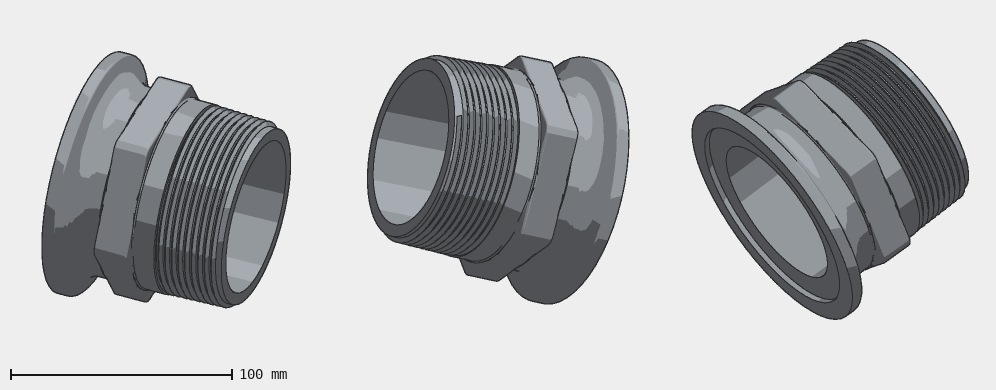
import cadquery as cq
import math


total_length = 81.3
bore_radius = 71.2 / 2
flange_radius = 112.8 / 2
body_radius = 88.6 / 2
flange_rim = 5.8
flange_back_angle = 20
flange_rim_fillet = 1.0
neck_fillet = 9.0
recess_radius = 94.7 / 2
recess_depth = 2.7

hex_start = 23.0
hex_width = 16.0
hex_across_flats = 90.0
hex_corner_fillet = 6.0
hex_edge_fillet = 1.0
hex_root_fillet = 0.7
hex_end = hex_start + hex_width

shoulder_x = 49.7
tip_radius = 41.0
taper = 1 / 32
thread_turns = 10
thread_start = 47.3
thread_end = 79.0
pitch = (thread_end - thread_start) / thread_turns
crest_clearance = 0.1
crest_radius = body_radius - crest_clearance
thread_depth = 2.7
flank_angle = 30


def build_body():
    """Turned solid: flange, swept neck, plain body and tapered thread core."""
    slope = math.radians(flange_back_angle)
    tangent_factor = math.tan((math.pi / 2 - slope) / 2)
    rim_tangent = flange_rim_fillet * tangent_factor
    neck_tangent = neck_fillet * tangent_factor
    neck_corner = flange_rim + (flange_radius - body_radius) * math.tan(slope)
    rim_center = (flange_rim - rim_tangent, flange_radius - flange_rim_fillet)
    neck_center = (neck_corner + neck_tangent, body_radius + neck_fillet)

    def on_arc(center, radius, angle):
        return (center[0] + radius * math.cos(angle), center[1] + radius * math.sin(angle))

    middle = (math.pi / 2 + slope) / 2
    rim_middle = on_arc(rim_center, flange_rim_fillet, middle)
    rim_finish = on_arc(rim_center, flange_rim_fillet, slope)
    neck_begin = on_arc(neck_center, -neck_fillet, slope)
    neck_middle = on_arc(neck_center, -neck_fillet, middle)
    core_radius = tip_radius + (total_length - shoulder_x) * taper

    profile = (
        cq.Workplane("XY")
        .lineTo(0, flange_radius)
        .lineTo(rim_center[0], flange_radius)
        .threePointArc(rim_middle, rim_finish)
        .lineTo(*neck_begin)
        .threePointArc(neck_middle, (neck_center[0], body_radius))
        .lineTo(shoulder_x, body_radius)
        .lineTo(shoulder_x, core_radius)
        .lineTo(total_length, tip_radius)
        .lineTo(total_length, 0)
        .close()
    )
    return profile.revolve(360, (0, 0, 0), (1, 0, 0))


def hex_prism(start, length):
    """Sharp hexagonal bar along X, with its corners on +Y and -Y."""
    across_corners = hex_across_flats / math.cos(math.pi / 6)
    return cq.Workplane("YZ", origin=(start, 0, 0)).polygon(6, across_corners).extrude(length)


def build_hexagon():
    """Hexagon with rounded corners and rounded side edges."""
    return (
        hex_prism(hex_start, hex_width)
        .edges("|X")
        .fillet(hex_corner_fillet)
        .faces("<X or >X")
        .edges()
        .fillet(hex_edge_fillet)
    )


def build_hex_root():
    """Ring under the hexagon that ends in a concave fillet on both sides."""
    ring_radius = body_radius + hex_root_fillet
    reach = hex_root_fillet * (1 - math.sqrt(0.5))
    inner_radius = (bore_radius + body_radius) / 2
    profile = (
        cq.Workplane("XY")
        .moveTo(hex_start - hex_root_fillet, inner_radius)
        .lineTo(hex_start - hex_root_fillet, body_radius)
        .threePointArc((hex_start - reach, body_radius + reach), (hex_start, ring_radius))
        .lineTo(hex_end, ring_radius)
        .threePointArc((hex_end + reach, body_radius + reach), (hex_end + hex_root_fillet, body_radius))
        .lineTo(hex_end + hex_root_fillet, inner_radius)
        .close()
    )
    ring = profile.revolve(360, (0, 0, 0), (1, 0, 0))
    return ring.intersect(hex_prism(0, total_length))


def build_thread():
    """Right-hand V thread on a cone, starting and ending on the +Y side."""
    base_radius = crest_radius - thread_depth
    half_base = thread_depth * math.tan(math.radians(flank_angle))
    cone_angle = math.degrees(math.atan(taper))
    helix = cq.Wire.makeHelix(pitch, thread_end - thread_start, base_radius, angle=-cone_angle)
    thread = (
        cq.Workplane("XZ")
        .moveTo(base_radius, -half_base)
        .lineTo(crest_radius, 0)
        .lineTo(base_radius, half_base)
        .close()
        .sweep(cq.Workplane(helix), isFrenet=True)
    )
    return thread.rotate((0, 0, 0), (1, 1, 1), 120).translate((thread_start, 0, 0))


def build_bore():
    """Through bore with the wider recess at the flange face."""
    bore = cq.Workplane("YZ").circle(bore_radius).extrude(total_length)
    recess = cq.Workplane("YZ").circle(recess_radius).extrude(recess_depth)
    return bore.union(recess)


result = (
    build_body()
    .union(build_hexagon())
    .union(build_hex_root())
    .union(build_thread())
    .cut(build_bore())
)